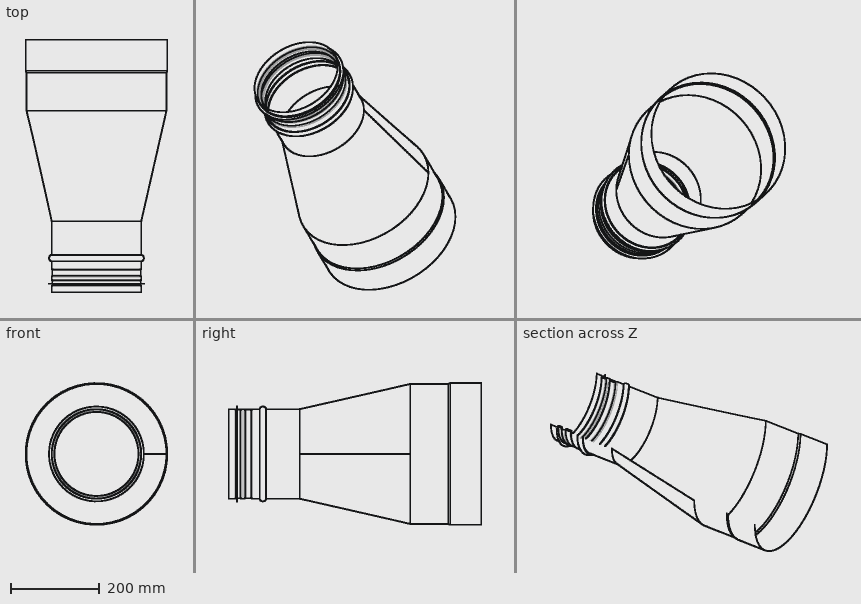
import cadquery as cq
import math

wall = 0.5

nipple_radius = 101.3
nipple_length = 160.0

cone_length = 250.0
seam_gap = 0.5

socket_length = 160.0
socket_radius = 158.3
collar_radius = 160.1
collar_length = 70.0
collar_taper_length = 5.0

bead_radius = 107.3
bead_shoulder_radius = 102.7
bead_front = 69.9
bead_back = 84.5

front_groove = (16.2, 26.7)
rear_groove = (37.4, 51.0)
groove_floor_radius = 95.0
shoulder_bend = 2.8
floor_bend = 1.5

seal_radius = 100.3
lip_radius = bead_radius
lip_front = 18.8
lip_thickness = 0.5

cone_start = nipple_length
cone_end = cone_start + cone_length
total_length = cone_end + socket_length
collar_start = total_length - collar_length
taper_start = collar_start - collar_taper_length
bead_middle = (bead_front + bead_back) / 2
shoulder_center_radius = nipple_radius - shoulder_bend
floor_center_radius = groove_floor_radius + floor_bend
seal_corner = seal_radius - shoulder_center_radius

OUTWARD = (1, 0)
INWARD = (-1, 0)
FRONT = (0, -1)
BACK = (0, 1)


def spin(profile):
    """Close a (radius, y) profile and turn it around the Y axis."""
    return profile.close().revolve(360, (0, 0, 0), (0, 1, 0))


def turned(points):
    """Solid of revolution of a straight-sided (radius, y) outline."""
    return spin(cq.Workplane("XY").polyline(points))


def quarter_bend(path, center, radius, start, end):
    """Draw a line to a quarter-round bend, then the bend itself.

    The bend starts on the start side of its center and finishes on the end side.
    """
    radius_at, y_at = center
    diagonal = radius * math.sqrt(0.5)
    path = path.lineTo(radius_at + radius * start[0], y_at + radius * start[1])
    return path.threePointArc(
        (radius_at + diagonal * (start[0] + end[0]), y_at + diagonal * (start[1] + end[1])),
        (radius_at + radius * end[0], y_at + radius * end[1]),
    )


def add_groove(path, groove, inset):
    """Continue a nipple profile along one groove, with its surface offset inwards by the inset."""
    front_wall, back_wall = groove
    shoulder = shoulder_bend - inset
    floor = floor_bend + inset
    front_shoulder = (shoulder_center_radius, front_wall - shoulder_bend)
    front_floor = (floor_center_radius, front_wall + floor_bend)
    back_floor = (floor_center_radius, back_wall - floor_bend)
    back_shoulder = (shoulder_center_radius, back_wall + shoulder_bend)
    path = quarter_bend(path, front_shoulder, shoulder, OUTWARD, BACK)
    path = quarter_bend(path, front_floor, floor, FRONT, INWARD)
    path = quarter_bend(path, back_floor, floor, INWARD, BACK)
    return quarter_bend(path, back_shoulder, shoulder, FRONT, OUTWARD)


def add_bead(path, inset):
    """Continue a nipple profile over the stop bead: short radial flanks joined by an arc."""
    pipe_radius = nipple_radius - inset
    path = path.lineTo(pipe_radius, bead_front + inset)
    path = path.lineTo(bead_shoulder_radius, bead_front + inset)
    path = path.threePointArc(
        (bead_radius - inset, bead_middle),
        (bead_shoulder_radius, bead_back - inset),
    )
    return path.lineTo(pipe_radius, bead_back - inset)


def filled_nipple(inset):
    """Solid body inside the nipple's outer surface, offset inwards by the inset."""
    pipe_radius = nipple_radius - inset
    path = cq.Workplane("XY").lineTo(pipe_radius, 0)
    for groove in (front_groove, rear_groove):
        path = add_groove(path, groove, inset)
    path = add_bead(path, inset)
    return spin(path.lineTo(pipe_radius, nipple_length).lineTo(0, nipple_length))


def make_nipple():
    return filled_nipple(0).cut(filled_nipple(wall))


def make_cone():
    shell = turned([
        (nipple_radius, cone_start),
        (socket_radius, cone_end),
        (socket_radius - wall, cone_end),
        (nipple_radius - wall, cone_start),
    ])
    slit = cq.Workplane("XY").box(
        socket_radius, cone_length, seam_gap, centered=(False, False, True)
    )
    return shell.cut(slit.translate((0, cone_start, 0)))


def make_socket():
    outer = [
        (socket_radius, cone_end),
        (socket_radius, taper_start),
        (collar_radius, collar_start),
        (collar_radius, total_length),
    ]
    inner = [(radius - wall, y) for radius, y in reversed(outer)]
    return turned(outer + inner)


def make_seal_ring(groove):
    """Ring that fills a groove, with rounded outer corners beside the groove's shoulders."""
    front_wall, back_wall = groove
    path = cq.Workplane("XY").moveTo(groove_floor_radius, front_wall + floor_bend)
    path = quarter_bend(path, (floor_center_radius, back_wall - floor_bend), floor_bend, INWARD, BACK)
    path = quarter_bend(path, (shoulder_center_radius, back_wall - seal_corner), seal_corner, BACK, OUTWARD)
    path = quarter_bend(path, (shoulder_center_radius, front_wall + seal_corner), seal_corner, OUTWARD, FRONT)
    path = quarter_bend(path, (floor_center_radius, front_wall + floor_bend), floor_bend, FRONT, INWARD)
    return spin(path)


def make_seal_lip():
    """Thin disc that stands out from the front seal, rooted inside the ring."""
    lip_back = lip_front + lip_thickness
    return turned([
        (shoulder_center_radius, lip_front),
        (lip_radius, lip_front),
        (lip_radius, lip_back),
        (shoulder_center_radius, lip_back),
    ])


socket = make_socket()
cone = make_cone()
nipple = make_nipple()
front_seal = make_seal_ring(front_groove).union(make_seal_lip())
rear_seal = make_seal_ring(rear_groove)

result = cq.Compound.makeCompound([
    socket.val(),
    cone.val(),
    nipple.val(),
    front_seal.val(),
    rear_seal.val(),
])